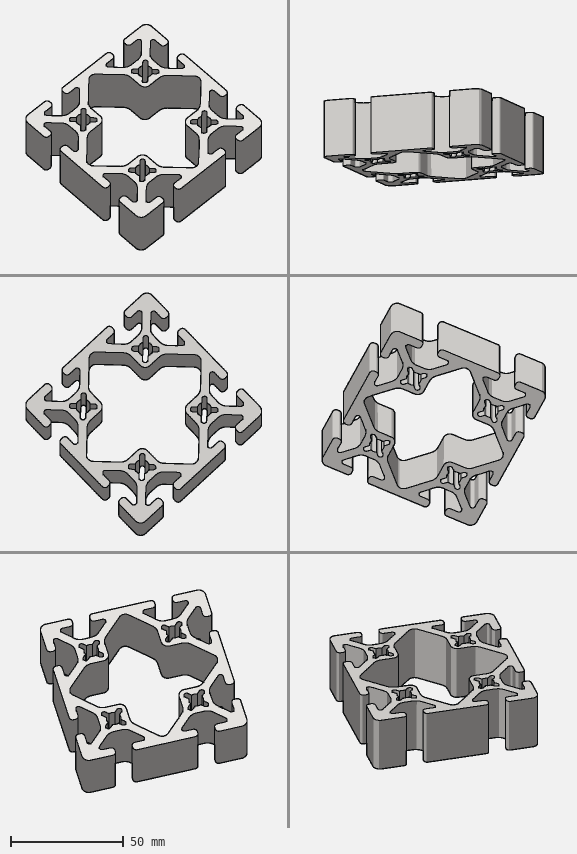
import cadquery as cq
import math

side = 76.2
length = 25.4
corner_radius = 3.2

slot_mouth = 8.1
lip_thickness = 4.1
lip_radius = 1.6
pocket_radius = 1.2
floor_radius = 4.95

hub_size = 13.7
strut_width = 4.0

cavity_radius = 3.05
shoulder_radius = floor_radius

bore_diameter = 6.55
lobe_width = 2.4
lobe_centre_offset = 3.5

half_side = side / 2
hub_offset = side / 4
hub_half = hub_size / 2
strut_half_on_axis = strut_width / 2 * math.sqrt(2)
quarter_turns = (0, 90, 180, 270)


def prism(points):
    """Extrude a closed polygon over the full length."""
    return cq.Workplane("XY").polyline(points).close().extrude(length)


def fillet_at(solid, points, radius):
    """Round the lengthwise edges that stand on the given (x, y) points."""
    tolerance = 0.001

    def stands_on_point(edge):
        centre = edge.Center()
        return any(math.hypot(centre.x - x, centre.y - y) < tolerance for x, y in points)

    return solid.edges("|Z").filter(stands_on_point).fillet(radius)


def four_way(solid):
    """Repeat a solid by quarter turns about the central axis."""
    origin, axis_end = (0, 0, 0), (0, 0, 1)
    combined = solid
    for angle in quarter_turns[1:]:
        combined = combined.union(solid.rotate(origin, axis_end, angle))
    return combined


def slot_cutter(centre_x):
    """T-slot opening on the +Y side: straight mouth, then a pocket narrowing to the hub."""
    mouth_half = slot_mouth / 2
    lip_y = half_side - lip_thickness
    floor_y = hub_offset + hub_half
    pocket_half = lip_y - hub_offset - strut_half_on_axis
    floor_half = hub_half - strut_half_on_axis

    def mirrored_pair(half_width, y):
        return [(centre_x - half_width, y), (centre_x + half_width, y)]

    mouth_left, mouth_right = mirrored_pair(mouth_half, half_side)
    lip_left, lip_right = mirrored_pair(mouth_half, lip_y)
    pocket_left, pocket_right = mirrored_pair(pocket_half, lip_y)
    floor_left, floor_right = mirrored_pair(floor_half, floor_y)
    cutter = prism([
        mouth_left, lip_left, pocket_left, floor_left,
        floor_right, pocket_right, lip_right, mouth_right,
    ])
    cutter = fillet_at(cutter, [lip_left, lip_right], lip_radius)
    cutter = fillet_at(cutter, [pocket_left, pocket_right], pocket_radius)
    return fillet_at(cutter, [floor_left, floor_right], floor_radius)


def turned(point, angle):
    """Turn an (x, y) point about the origin by an angle in degrees."""
    x, y = point
    cosine = math.cos(math.radians(angle))
    sine = math.sin(math.radians(angle))
    return (x * cosine - y * sine, x * sine + y * cosine)


def cavity_cutter():
    """Diamond-shaped cavity, notched by the inner corner of each hub."""
    apex = 2 * hub_offset - strut_half_on_axis
    hub_inner = hub_offset - hub_half
    shoulder = apex - hub_inner
    outline = []
    tips_and_hub_corners = []
    shoulders = []
    for angle in quarter_turns:
        tip = turned((apex, 0), angle)
        first_shoulder = turned((shoulder, hub_inner), angle)
        hub_corner = turned((hub_inner, hub_inner), angle)
        second_shoulder = turned((hub_inner, shoulder), angle)
        outline += [tip, first_shoulder, hub_corner, second_shoulder]
        tips_and_hub_corners += [tip, hub_corner]
        shoulders += [first_shoulder, second_shoulder]
    cutter = fillet_at(prism(outline), shoulders, shoulder_radius)
    return fillet_at(cutter, tips_and_hub_corners, cavity_radius)


def hub_hole_cutter():
    """Round bore crossed by two diagonal slots with round ends."""
    lobe_length = 2 * lobe_centre_offset * math.sqrt(2) + lobe_width
    hole = cq.Workplane("XY").circle(bore_diameter / 2).extrude(length)
    for angle in (45, 135):
        hole = hole.union(cq.Workplane("XY").slot2D(lobe_length, lobe_width, angle).extrude(length))
    return hole.translate((hub_offset, hub_offset, 0))


bar = cq.Workplane("XY").rect(side, side).extrude(length).edges("|Z").fillet(corner_radius)

for slot_x in (-hub_offset, hub_offset):
    bar = bar.cut(four_way(slot_cutter(slot_x)))
bar = bar.cut(cavity_cutter())
bar = bar.cut(four_way(hub_hole_cutter()))

lip_edges = []
for centre in (-hub_offset, hub_offset):
    for edge_offset in (-slot_mouth / 2, slot_mouth / 2):
        for face in (-half_side, half_side):
            lip_edges += [(centre + edge_offset, face), (face, centre + edge_offset)]

result = fillet_at(bar, lip_edges, lip_radius)